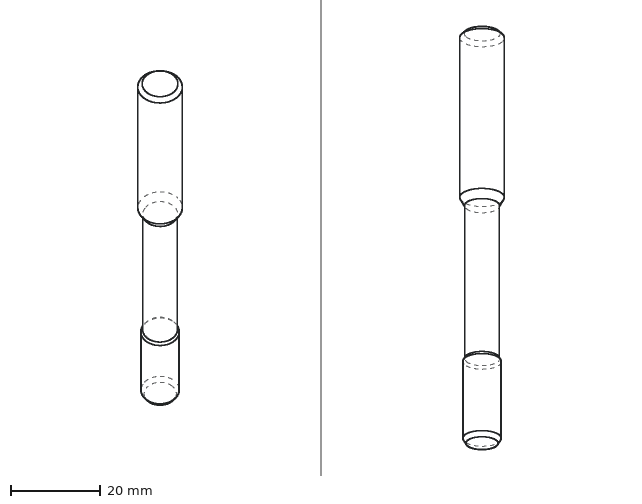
import cadquery as cq

total_length = 100.0

shank_diameter = 10.0
shank_length = 40.0
shank_chamfer = 1.0

neck_diameter = 7.8
cone_length = 2.0

head_diameter = 8.6
head_length = 20.0
head_chamfer_width = 0.7
head_chamfer_height = 1.2
shoulder_height = 0.7

shank_radius = shank_diameter / 2
neck_radius = neck_diameter / 2
head_radius = head_diameter / 2

shank_bottom = total_length - shank_length
cone_bottom = shank_bottom - cone_length
shoulder_top = head_length + shoulder_height


def half_profile():
    """Closed (radius, height) outline of the stepped pin on one side of its axis."""
    return (
        cq.Workplane("XZ")
        .moveTo(0, 0)
        .lineTo(head_radius - head_chamfer_width, 0)
        .lineTo(head_radius, head_chamfer_height)
        .lineTo(head_radius, head_length)
        .lineTo(neck_radius, shoulder_top)
        .lineTo(neck_radius, cone_bottom)
        .lineTo(shank_radius, shank_bottom)
        .lineTo(shank_radius, total_length - shank_chamfer)
        .lineTo(shank_radius - shank_chamfer, total_length)
        .lineTo(0, total_length)
        .close()
    )


result = half_profile().revolve(360, (0, 0, 0), (0, 1, 0))